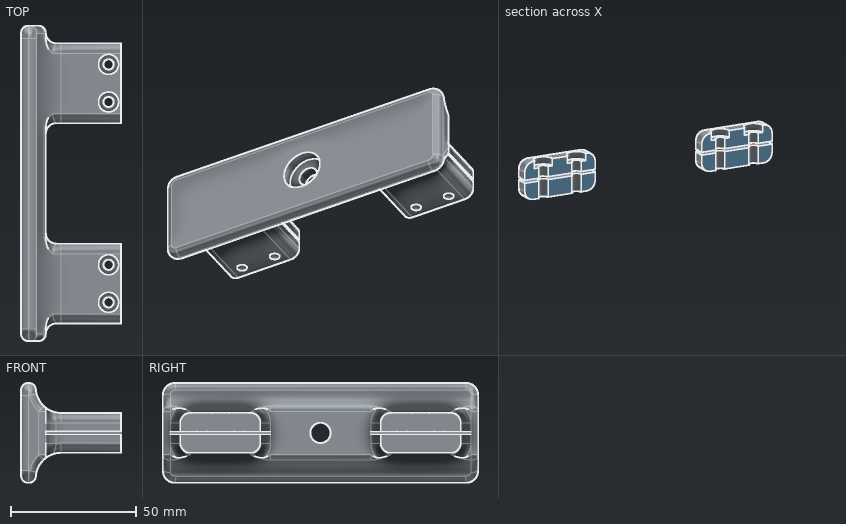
import cadquery as cq
import math

plate_length = 126.0
plate_height = 40.0
plate_depth = 10.0
rim_depth = 6.0
plate_corner_radius = 5.0
plate_edge_radius = 3.0

part_depth = 40.0
tab_width = 32.0
tab_height = 16.0
tab_spacing = 80.0
tab_edge_radius = 4.0
tab_root_radius = 4.0
slot_height = 1.0
tab_overlap = 1.0
tab_zone_x = 8.0

flare_radius = 10.0

screw_hole_diameter = 4.0
screw_head_diameter = 8.0
screw_head_depth = 3.0
screw_spacing = 15.0
screw_inset = 5.0

mount_hole_diameter = 8.0
mount_head_diameter = 16.5
mount_head_depth = 5.0

half_height = plate_height / 2
half_length = plate_length / 2
half_tab = tab_height / 2
tab_center_y = tab_spacing / 2
tab_sides = (tab_center_y - tab_width / 2, tab_center_y + tab_width / 2)
flare_end_x = rim_depth + flare_radius
flare_center_z = half_tab + flare_radius
screw_x = part_depth - screw_inset
tolerance = 0.001


def flare_z(x):
    """Half height of the flare at depth x."""
    return flare_center_z - math.sqrt(flare_radius**2 - (flare_end_x - x) ** 2)


def pick_edges(body, accept):
    """Edges of a body whose bounding box is accepted."""
    return body.newObject([edge for edge in body.edges().vals() if accept(edge.BoundingBox())])


def on_rear_face(box):
    """True for edges that lie in the rear plane of the plate."""
    return abs(box.xmin - plate_depth) < tolerance and box.xlen < tolerance


def make_plate_blank():
    """Sharp-edged plate with a flared rear and rounded corners."""
    rear_z = flare_z(plate_depth)
    middle_x = (rim_depth + plate_depth) / 2
    middle_z = flare_z(middle_x)
    plate = (
        cq.Workplane("XZ")
        .moveTo(0, -half_height)
        .lineTo(rim_depth, -half_height)
        .lineTo(rim_depth, -flare_center_z)
        .threePointArc((middle_x, -middle_z), (plate_depth, -rear_z))
        .lineTo(plate_depth, rear_z)
        .threePointArc((middle_x, middle_z), (rim_depth, flare_center_z))
        .lineTo(rim_depth, half_height)
        .lineTo(0, half_height)
        .close()
        .extrude(half_length, both=True)
    )
    return plate.edges("|X").fillet(plate_corner_radius)


def make_tab_blank():
    """Sharp-edged tab on the +Y side, its flared root reaching into the plate."""
    root_x = plate_depth - tab_overlap
    root_z = flare_z(root_x)
    middle_x = (root_x + flare_end_x) / 2
    middle_z = flare_z(middle_x)
    return (
        cq.Workplane("XZ", origin=(0, tab_center_y, 0))
        .moveTo(root_x, -root_z)
        .threePointArc((middle_x, -middle_z), (flare_end_x, -half_tab))
        .lineTo(part_depth, -half_tab)
        .lineTo(part_depth, half_tab)
        .lineTo(flare_end_x, half_tab)
        .threePointArc((middle_x, middle_z), (root_x, root_z))
        .close()
        .extrude(tab_width / 2, both=True)
    )


def round_tab_edges_then_root(blank):
    """Round the long tab edges, then wrap the root fillet around the rounded tab."""

    def is_long_edge(box):
        return box.xmax > plate_depth + tolerance and box.xlen > tolerance

    def is_root_edge(box):
        beside_tab = box.ymin > tab_sides[0] - tolerance and box.ymax < tab_sides[1] + tolerance
        return on_rear_face(box) and beside_tab

    rounded = pick_edges(blank, is_long_edge).fillet(tab_edge_radius)
    return pick_edges(rounded, is_root_edge).fillet(tab_root_radius)


def round_root_then_rear_edges(blank):
    """Fillet the tab root, then round the rear plate edges and the edges running on from them."""

    def is_root_edge(box):
        at_tab_side = any(abs(box.center.y - side) < tolerance for side in tab_sides)
        return on_rear_face(box) and at_tab_side and box.ylen < tolerance

    def is_inner_rear_edge(box):
        return on_rear_face(box) and box.zlen < tolerance and box.ymax < tab_sides[0]

    def is_outer_rear_edge(box):
        return on_rear_face(box) and box.zlen < tolerance and box.ymin > tab_sides[1]

    rounded = pick_edges(blank, is_root_edge).fillet(tab_root_radius)
    rounded = pick_edges(rounded, is_inner_rear_edge).fillet(plate_edge_radius)
    return pick_edges(rounded, is_outer_rear_edge).fillet(plate_edge_radius)


def make_tab(plate_blank):
    """Finished +Y tab with its root: what both ways of rounding leave standing."""
    blank = plate_blank.union(make_tab_blank())
    rounded = round_tab_edges_then_root(blank).intersect(round_root_then_rear_edges(blank))
    tab_zone = cq.Workplane("XY").box(
        part_depth - tab_zone_x,
        tab_width + 2 * tab_root_radius,
        plate_height,
        centered=(False, True, True),
    )
    return rounded.intersect(tab_zone.translate((tab_zone_x, tab_center_y, 0)))


def make_slots():
    """Slit through both tabs from their ends to the rear face of the plate."""
    slot_depth = part_depth - plate_depth
    slots = cq.Workplane("XY").box(slot_depth, plate_length, slot_height, centered=(False, True, True))
    return slots.translate((plate_depth, 0, 0))


def drill_screw_holes(body):
    """Counterbored holes down through the tabs."""
    screw_ys = [
        side * tab_center_y + offset
        for side in (-1, 1)
        for offset in (-screw_spacing / 2, screw_spacing / 2)
    ]
    return (
        body.copyWorkplane(cq.Workplane("XY", origin=(0, 0, half_tab)))
        .pushPoints([(screw_x, y) for y in screw_ys])
        .cboreHole(screw_hole_diameter, screw_head_diameter, screw_head_depth, tab_height)
    )


def drill_mount_hole(body):
    """Counterbored hole through the plate from its front face."""
    hole = cq.Workplane("YZ").circle(mount_hole_diameter / 2).extrude(plate_depth)
    head = cq.Workplane("YZ").circle(mount_head_diameter / 2).extrude(mount_head_depth)
    return body.cut(hole).cut(head)


plate_blank = make_plate_blank()
plate = plate_blank.edges().fillet(plate_edge_radius)
tab = make_tab(plate_blank)
body = plate.union(tab).union(tab.mirror("XZ"))
body = body.cut(make_slots())
body = drill_screw_holes(body)
result = drill_mount_hole(body)